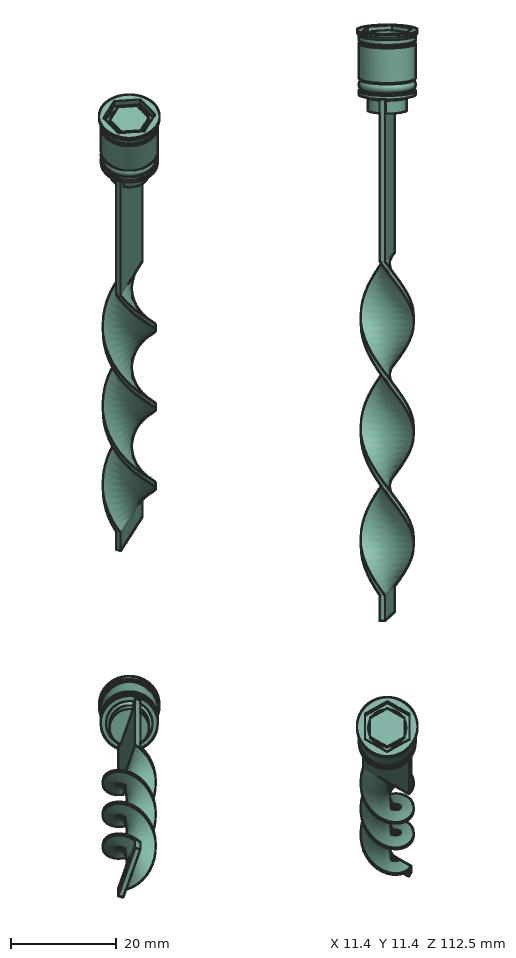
import cadquery as cq
import math

total_length = 112.5

flange_radius = 5.7
flange_rim = 0.5
flange_depth = 1.0
body_radius = 5.4
body_depth = 12.4
shoulder_radius = 4.4
shoulder_depth = 12.9
stub_radius = 3.7
stub_depth = 15.4
relief_depth = 2.2
relief_width = 0.7
relief_cut = 0.2

ring_section = 1.8
ring_center_depth = 10.5
gland_chamfer = 0.3

recess_flats = 8.4
recess_depth = 1.4
boss_flats = 6.5
boss_top_depth = 0.7
collar_radius = 3.6
collar_top_depth = 1.0

strip_width = 10.0
strip_thickness = 1.0
twist_length = 64.0
lower_flat = 5.0
twist_angle = -540.0

top = total_length
ring_radius = ring_section / 2
ring_path_radius = body_radius - ring_radius
gland_bottom_radius = body_radius - ring_section
gland_top = top - ring_center_depth + ring_radius
gland_bottom = gland_top - ring_section
strip_top = top - body_depth


def plug_blank():
    """Turned outside of the plug: flange, barrel with relief groove, gland and stub."""
    relief_z = top - relief_depth
    profile = (
        cq.Workplane("XZ")
        .moveTo(0, top)
        .lineTo(flange_radius, top)
        .lineTo(flange_radius, top - flange_rim)
        .lineTo(body_radius, top - flange_depth)
        .lineTo(body_radius, relief_z + relief_width / 2)
        .lineTo(body_radius - relief_cut, relief_z)
        .lineTo(body_radius, relief_z - relief_width / 2)
        .lineTo(body_radius, gland_top + gland_chamfer)
        .lineTo(body_radius - gland_chamfer, gland_top)
        .lineTo(gland_bottom_radius, gland_top)
        .lineTo(gland_bottom_radius, gland_bottom)
        .lineTo(body_radius - gland_chamfer, gland_bottom)
        .lineTo(body_radius, gland_bottom - gland_chamfer)
        .lineTo(body_radius, top - body_depth)
        .lineTo(shoulder_radius, top - body_depth)
        .lineTo(stub_radius, top - shoulder_depth)
        .lineTo(stub_radius, top - stub_depth)
        .lineTo(0, top - stub_depth)
        .close()
    )
    return profile.revolve(360, (0, 0, 0), (0, 1, 0))


def recess_floor():
    """Work plane on the recess floor, turned so that hexagon corners lie along Y."""
    return cq.Workplane("XY", origin=(0, 0, top - recess_depth)).transformed(rotate=(0, 0, 90))


def hex_prism(across_flats, height):
    """Hexagonal prism standing on the recess floor."""
    across_corners = across_flats / math.cos(math.pi / 6)
    return recess_floor().polygon(6, across_corners).extrude(height)


def make_plug(strip):
    """Plug with its hexagonal recess, inner boss and the slot that takes the strip."""
    boss = hex_prism(boss_flats, recess_depth - boss_top_depth)
    collar = recess_floor().circle(collar_radius).extrude(recess_depth - collar_top_depth)
    recess = hex_prism(recess_flats, recess_depth).cut(boss).cut(collar)
    return plug_blank().cut(recess).cut(strip)


def make_seal_ring():
    """Round-section ring filling the gland."""
    return (
        cq.Workplane("XZ")
        .center(ring_path_radius, top - ring_center_depth)
        .circle(ring_radius)
        .revolve(360, (-ring_path_radius, 0, 0), (-ring_path_radius, 1, 0))
    )


def strip_section(height):
    """Rectangular strip section at the given height, wide along Y."""
    return cq.Workplane("XY", origin=(0, 0, height)).rect(strip_thickness, strip_width)


def make_strip():
    """Flat strip with a left-handed twist of one and a half turns."""
    twist_top = lower_flat + twist_length
    lower = strip_section(0).extrude(lower_flat)
    twist = strip_section(lower_flat).twistExtrude(twist_length, twist_angle)
    upper = strip_section(twist_top).extrude(strip_top - twist_top)
    return lower.union(twist).union(upper)


strip = make_strip()
plug = make_plug(strip)
seal_ring = make_seal_ring()

result = cq.Compound.makeCompound([plug.val(), seal_ring.val(), strip.val()])